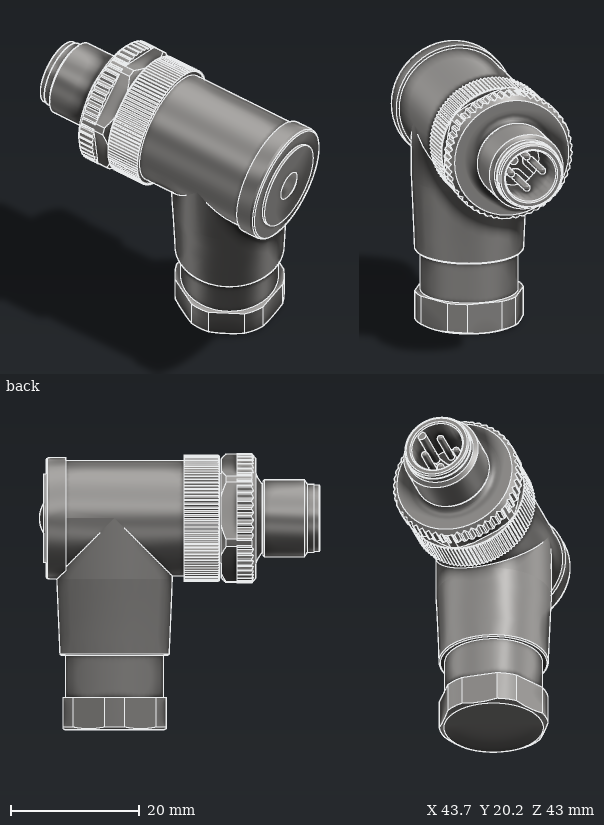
import cadquery as cq
import math


mouth_radius = 5.2
mouth_edge_depth = 0.17
mouth_edge_drop = 0.25
collar_start = 0.95
collar_radius = 5.35
sleeve_start = 2.0
sleeve_radius = 6.05
sleeve_front_chamfer = 0.45
sleeve_end = 8.9
sleeve_rear_chamfer = 0.25

neck_start = 9.05
neck_radius = 5.35
cone_end = 9.65
cone_end_radius = 6.25
nut_start = 10.0
neck_fillet_radius = 7.45
nut_radius = 10.1
nut_face_radius = 9.3
nut_front_chamfer = 0.65
teeth_end = 13.0
nut_teeth = 52
nut_tooth_depth = 0.35
nut_crest_share = 0.2
nut_chamfer_start = 14.6
nut_end = 15.43
nut_end_radius = 9.25
hex_corner_angle = 22.5
hex_apothem = 9.0
hex_corner_radius = 10.05

shaft_radius = 7.0
knurl_start = 15.65
knurl_end = 21.15
knurl_radius = 9.85
knurl_teeth = 100
knurl_depth = 0.25
knurl_front_chamfer = 0.2
body_radius = 9.0
cap_start = 39.55
cap_end = 42.65
cap_radius = 9.5
cap_bevel_length = 0.4
cap_bevel_drop = 0.1
cap_edge = 0.2
plate_end = 43.05
plate_radius = 6.9
total_length = 43.7
dome_radius = 2.3

socket_depth = 8.3
socket_radius = 4.1
socket_floor_radius = 3.9
socket_edge = 0.2
cross_depth = 0.2
cross_width = 1.05
pin_radius = 0.52
pin_tip_fillet = 0.5
pin_offset = 2.55
pin_start = 1.7
pin_angles = (0, 90, 180, 270)
key_radius = 0.65
key_offset = 3.65
key_start = 0.65
key_angle = 45

outlet_x = 32.0
outlet_taper_top = -9.5
outlet_taper_bottom = -21.33
outlet_bottom_radius = 8.5
outlet_edge = 0.2
gland_radius = 7.65
gland_nut_top = -27.9
gland_nut_bottom = -32.9
gland_nut_apothem = 8.05
gland_nut_corner_radius = 8.5
gland_nut_end_radius = 7.75
gland_nut_chamfer = 0.45


def revolve_about_x(profile):
    """Turn a closed (X, radius) profile about the plug axis."""
    return profile.close().revolve(360, (0, 0, 0), (1, 0, 0))


def turned(points):
    """Turn a straight-sided (X, radius) outline about the plug axis."""
    return revolve_about_x(cq.Workplane("XY").polyline(points))


def across_x(start):
    """Sketch plane facing +X: its x is world Y and its y is world Z."""
    return cq.Workplane("YZ", origin=(start, 0, 0))


def cylinder_x(start, end, radius):
    return across_x(start).circle(radius).extrude(end - start)


def polar(radius, degrees):
    angle = math.radians(degrees)
    return (radius * math.cos(angle), radius * math.sin(angle))


def toothed_bar(start, end, radius, depth, teeth, crest_share, groove_angle):
    """Bar along X with V grooves; one groove is centred on groove_angle."""
    pitch = 360 / teeth
    points = []
    for i in range(teeth):
        groove = groove_angle + i * pitch
        points.append(polar(radius - depth, groove))
        if crest_share > 0:
            points.append(polar(radius, groove + pitch * (1 - crest_share) / 2))
            points.append(polar(radius, groove + pitch * (1 + crest_share) / 2))
        else:
            points.append(polar(radius, groove + pitch / 2))
    return across_x(start).polyline(points).close().extrude(end - start)


def plug_sleeve():
    """Mouth, collar and sleeve ahead of the coupling nut, still solid inside."""
    return turned([
        (0, 0),
        (0, mouth_radius - mouth_edge_drop),
        (mouth_edge_depth, mouth_radius),
        (collar_start, mouth_radius),
        (collar_start, collar_radius),
        (sleeve_start, collar_radius),
        (sleeve_start + sleeve_front_chamfer, sleeve_radius),
        (sleeve_end - sleeve_rear_chamfer, sleeve_radius),
        (sleeve_end, sleeve_radius - sleeve_rear_chamfer),
        (sleeve_end, neck_radius),
        (neck_start, neck_radius),
        (neck_start, 0),
    ])


def coupling_neck():
    """Cone that flares through a fillet into the front face of the nut."""
    profile = (
        cq.Workplane("XY")
        .moveTo(neck_start, 0)
        .lineTo(teeth_end, 0)
        .lineTo(teeth_end, nut_face_radius)
        .lineTo(nut_start, nut_face_radius)
        .lineTo(nut_start, neck_fillet_radius)
        .tangentArcPoint((cone_end, cone_end_radius), relative=False)
        .lineTo(neck_start, neck_radius)
    )
    return revolve_about_x(profile)


def coupling_nut():
    """Toothed grip and hexagon, both trimmed by the turned outline of the nut."""
    corner_angle = 180 - hex_corner_angle
    teeth = toothed_bar(
        nut_start, teeth_end, nut_radius, nut_tooth_depth, nut_teeth, nut_crest_share, corner_angle
    )
    hex_corner_distance = hex_apothem / math.cos(math.radians(30))
    hexagon = (
        across_x(nut_start)
        .polyline([polar(hex_corner_distance, corner_angle + 60 * i) for i in range(6)])
        .close()
        .extrude(nut_end - nut_start)
        .intersect(cylinder_x(nut_start, nut_end, hex_corner_radius))
    )
    outline = turned([
        (nut_start, 0),
        (nut_start, nut_face_radius),
        (nut_start + nut_front_chamfer, nut_radius),
        (nut_chamfer_start, nut_radius),
        (nut_end, nut_end_radius),
        (nut_end, 0),
    ])
    return teeth.union(hexagon).intersect(outline)


def shaft():
    """Core seen in the gap between the coupling nut and the knurled ring."""
    return cylinder_x(teeth_end, knurl_end, shaft_radius)


def knurled_ring():
    """Fine straight knurl with sharp crests and a chamfered front edge."""
    knurl = toothed_bar(knurl_start, knurl_end, knurl_radius, knurl_depth, knurl_teeth, 0, 0)
    outline = turned([
        (knurl_start, 0),
        (knurl_start, knurl_radius - knurl_front_chamfer),
        (knurl_start + knurl_front_chamfer, knurl_radius),
        (knurl_end, knurl_radius),
        (knurl_end, 0),
    ])
    return knurl.intersect(outline)


def mitre_wedge():
    """Right-angled wedge below the crossing of the two axes, open towards -Z."""
    reach = 2 * body_radius
    return (
        cq.Workplane("XZ", origin=(outlet_x, 0, 0))
        .polyline([(0, 0), (reach, -reach), (-reach, -reach)])
        .close()
        .extrude(reach, both=True)
    )


def barrel():
    """Round body, notched on two 45-degree mitre planes to receive the equally wide outlet."""
    return cylinder_x(knurl_end, cap_end, body_radius).cut(mitre_wedge())


def end_cap():
    """Cap ring, cover plate and the shallow spherical dome in its centre."""
    rim_radius = cap_radius - cap_bevel_drop
    cap = turned([
        (cap_start, 0),
        (cap_start, cap_radius),
        (cap_end - cap_edge - cap_bevel_length, cap_radius),
        (cap_end - cap_edge, rim_radius),
        (cap_end, rim_radius - cap_edge),
        (cap_end, plate_radius),
        (plate_end, plate_radius),
        (plate_end, 0),
    ])
    dome_height = total_length - plate_end
    ball_radius = (dome_radius**2 + dome_height**2) / (2 * dome_height)
    half_angle = math.asin(dome_radius / ball_radius) / 2
    arc_middle = (
        total_length - ball_radius * (1 - math.cos(half_angle)),
        ball_radius * math.sin(half_angle),
    )
    dome = revolve_about_x(
        cq.Workplane("XY")
        .moveTo(cap_end, 0)
        .lineTo(cap_end, dome_radius)
        .lineTo(plate_end, dome_radius)
        .threePointArc(arc_middle, (total_length, 0))
    )
    return cap.union(dome)


def cable_outlet():
    """Branch as wide as the barrel, so the two meet in 45-degree mitres, then taper and gland."""
    stub = cq.Workplane("XY").circle(body_radius).extrude(outlet_taper_top)
    mitred_stub = stub.translate((outlet_x, 0, 0)).intersect(mitre_wedge())
    profile = (
        cq.Workplane("XZ")
        .polyline([
            (0, outlet_taper_top),
            (body_radius, outlet_taper_top),
            (outlet_bottom_radius, outlet_taper_bottom + outlet_edge),
            (outlet_bottom_radius - outlet_edge, outlet_taper_bottom),
            (gland_radius, outlet_taper_bottom),
            (gland_radius, gland_nut_top),
            (0, gland_nut_top),
        ])
        .close()
    )
    taper = profile.revolve(360, (0, 0, 0), (0, 1, 0))
    return mitred_stub.union(taper.translate((outlet_x, 0, 0)))


def gland_nut():
    """Hexagon with rounded corners and a chamfered lower end."""
    height = gland_nut_top - gland_nut_bottom
    corner_distance = gland_nut_apothem / math.cos(math.radians(30))
    hexagon = (
        cq.Workplane("XY", origin=(0, 0, gland_nut_bottom))
        .polyline([polar(corner_distance, 90 + 60 * i) for i in range(6)])
        .close()
        .extrude(height)
    )
    outline = (
        cq.Workplane("XZ")
        .polyline([
            (0, gland_nut_bottom),
            (gland_nut_end_radius, gland_nut_bottom),
            (gland_nut_corner_radius, gland_nut_bottom + gland_nut_chamfer),
            (gland_nut_corner_radius, gland_nut_top),
            (0, gland_nut_top),
        ])
        .close()
        .revolve(360, (0, 0, 0), (0, 1, 0))
    )
    return hexagon.intersect(outline).translate((outlet_x, 0, 0))


def socket():
    """Slightly tapered bore with a chamfered mouth."""
    return turned([
        (0, 0),
        (0, socket_radius + socket_edge),
        (socket_edge, socket_radius),
        (socket_depth, socket_floor_radius),
        (socket_depth, 0),
    ])


def floor_cross():
    """Recess between the four contact pads, each rounded about its own pin."""
    pad_round = pin_offset * math.sin(math.radians(45)) - cross_width / 2
    pad_size = socket_floor_radius
    tangent = pad_round * math.sin(math.radians(45))
    recess = cylinder_x(socket_depth, socket_depth + cross_depth, socket_floor_radius)
    for angle in pin_angles:
        pad_plane = across_x(socket_depth).transformed(rotate=(0, 0, angle))
        pad = (
            pad_plane.moveTo(pin_offset - tangent, tangent)
            .threePointArc((pin_offset - pad_round, 0), (pin_offset - tangent, -tangent))
            .line(pad_size, -pad_size)
            .line(0, 2 * (pad_size + tangent))
            .close()
            .extrude(cross_depth)
        )
        recess = recess.cut(pad)
    return recess


def contact_pins():
    """Four round-nosed pins, rooted below the pad faces."""
    pin = cylinder_x(pin_start, socket_depth + cross_depth, pin_radius).faces("<X").fillet(pin_tip_fillet)
    pins = cq.Workplane("XY")
    for angle in pin_angles:
        y, z = polar(pin_offset, angle)
        pins = pins.union(pin.translate((0, y, z)))
    return pins


def coding_key():
    """Rounded rib along the bore wall."""
    y, z = polar(key_offset, key_angle)
    return cylinder_x(key_start, socket_depth + cross_depth, key_radius).translate((0, y, z))


plug = (
    plug_sleeve()
    .union(coupling_neck())
    .union(coupling_nut())
    .union(shaft())
    .union(knurled_ring())
    .cut(socket())
    .cut(floor_cross())
    .union(contact_pins())
    .union(coding_key())
)
housing = barrel().union(end_cap()).union(cable_outlet()).union(gland_nut())

result = plug.union(housing, clean=False)